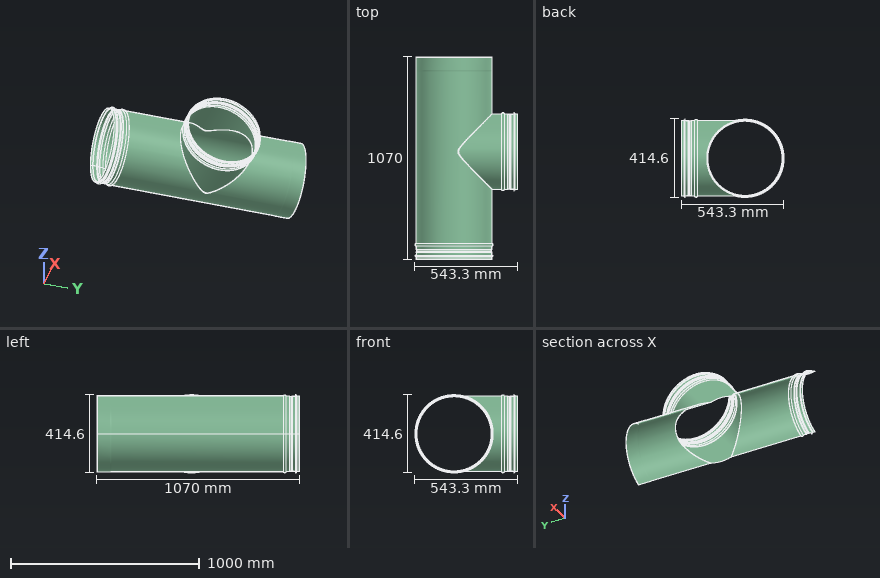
import cadquery as cq

sheet = 0.5

pipe_radius = 403.0 / 2
total_length = 1070.0
socket_end_y = 500.0
nipple_end_y = socket_end_y - total_length
socket_length = 70.0
socket_taper_length = 7.0
socket_step = 1.0

branch_radius = 401.0 / 2
branch_end_x = 336.0

nipple_radius = branch_radius
seat_radius = nipple_radius - 3.4
seat_start = 13.0
seat_end = 35.3
rib_radius = 397.0 / 2
rib_slope = 2.8
rib_start = 38.5
rib_end = 52.8
bead_start = 70.0
bead_end = 84.5
bead_height = 6.0

lip_radius = 414.6 / 2
lip_root_end = 15.5
lip_tip_start = 19.0
lip_tip_end = 20.0
flat_end = 27.0
band_start = 29.5
band_thickness = 2.6

seam_gap = 0.2


def revolve_profile(profile):
    """Turn a profile of (radius, distance from the open end) points about the Y axis."""
    return profile.close().revolve(360, (0, 0, 0), (0, 1, 0))


def nipple_outline(offset):
    """Points along one side of the nipple sheet, from the open end to the foot of the bead."""
    radius = nipple_radius - offset
    seat = seat_radius - offset
    rib = rib_radius - offset
    return [
        (radius, 0),
        (radius, seat_start),
        (seat, seat_start),
        (seat, seat_end),
        (radius, seat_end),
        (radius, rib_start),
        (rib, rib_start + rib_slope),
        (rib, rib_end - rib_slope),
        (radius, rib_end),
        (radius, bead_start),
    ]


def make_nipple():
    outside = nipple_outline(0)
    inside = nipple_outline(sheet)
    inside.reverse()
    inner_radius = nipple_radius - sheet
    bead_middle = (bead_start + bead_end) / 2
    profile = (
        cq.Workplane("XY")
        .polyline(outside)
        .threePointArc((nipple_radius + bead_height, bead_middle), (nipple_radius, bead_end))
        .lineTo(inner_radius, bead_end)
        .threePointArc((inner_radius + bead_height, bead_middle), inside[0])
    )
    for point in inside[1:]:
        profile = profile.lineTo(*point)
    return revolve_profile(profile)


def make_gasket():
    """Rubber ring in the seat, thin towards the rib, with a lip that leans back from the open end."""
    profile = (
        cq.Workplane("XY")
        .moveTo(seat_radius, seat_start)
        .lineTo(nipple_radius, seat_start)
        .lineTo(lip_radius, lip_tip_start)
        .lineTo(lip_radius, lip_tip_end)
        .lineTo(nipple_radius, lip_root_end)
        .lineTo(nipple_radius, flat_end)
        .lineTo(seat_radius + band_thickness, band_start)
        .lineTo(seat_radius + band_thickness, seat_end)
        .lineTo(seat_radius, seat_end)
    )
    return revolve_profile(profile)


def make_pipe():
    """Rolled pipe from the nipple bead to the widened socket."""
    bead_y = nipple_end_y + bead_end
    taper_end = socket_end_y - socket_length
    taper_start = taper_end - socket_taper_length
    inner_radius = pipe_radius - sheet
    profile = (
        cq.Workplane("XY")
        .moveTo(inner_radius, bead_y)
        .lineTo(pipe_radius, bead_y)
        .lineTo(pipe_radius, taper_start)
        .lineTo(pipe_radius + socket_step, taper_end)
        .lineTo(pipe_radius + socket_step, socket_end_y)
        .lineTo(inner_radius + socket_step, socket_end_y)
        .lineTo(inner_radius + socket_step, taper_end)
        .lineTo(inner_radius, taper_start)
    )
    return revolve_profile(profile)


def face_seam(part):
    """Turn a ring half round so that the joint of its revolved surface lies at the seam."""
    return part.rotate((0, 0, 0), (0, 1, 0), 180)


def place_on_pipe(part):
    return part.translate((0, nipple_end_y, 0))


def place_on_branch(part):
    return part.rotate((0, 0, 0), (0, 0, 1), 90).translate((branch_end_x, 0, 0))


branch_length = branch_end_x - bead_end
branch_bore = cq.Workplane("YZ").circle(branch_radius - sheet).extrude(branch_length)
pipe_envelope = cq.Workplane("XZ").circle(pipe_radius).extrude(total_length, both=True)
branch = (
    cq.Workplane("YZ")
    .circle(branch_radius)
    .extrude(branch_length)
    .cut(branch_bore)
    .cut(pipe_envelope)
)

seam_reach = 1.5 * pipe_radius
seam = (
    cq.Workplane("XY")
    .box(seam_reach, 2 * total_length, seam_gap, centered=(False, True, True))
    .translate((-seam_reach, 0, 0))
)

nipple = make_nipple()
gasket = make_gasket()
pipe = face_seam(make_pipe()).cut(branch_bore).cut(seam)
pipe_nipple = place_on_pipe(face_seam(nipple)).cut(seam)
branch_nipple = place_on_branch(nipple)
gaskets = [place(gasket) for place in (place_on_pipe, place_on_branch)]

bodies = [pipe, branch, pipe_nipple, branch_nipple, *gaskets]
result = cq.Compound.makeCompound([body.val() for body in bodies])